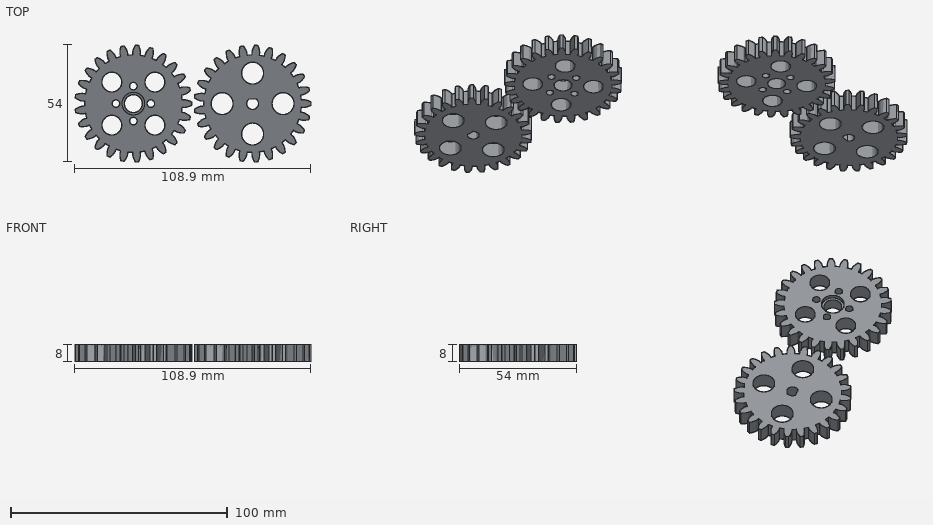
import cadquery as cq
import math

tooth_count = 25
centre_distance = 55.0
tip_radius = 27.0
root_radius = 22.5
pitch_radius = 25.0
pressure_angle = math.radians(20)
thickness = 8.0
pitch_thickness = 3.2
base_radius = pitch_radius * math.cos(pressure_angle)
tooth_step = 2 * math.pi / tooth_count
flank_point_count = 6

bearing_bore = 8.2
bearing_seat = 10.5
seat_depth = 2.0
screw_hole = 3.4
screw_circle_radius = 8.1
bearing_gear_window = 9.0
bearing_gear_window_angle = 45

shaft_gear_window = 10.0
shaft_bore = 5.3
shaft_flat_offset = 2.1

window_circle_radius = 14.0
hole_count = 4


def polar_point(radius, angle):
    return (radius * math.cos(angle), radius * math.sin(angle))


def involute_angle(radius):
    """Angle the involute has swept from the base circle out to the radius."""
    pressure = math.acos(base_radius / radius)
    return math.tan(pressure) - pressure


base_half_angle = pitch_thickness / pitch_radius / 2 + involute_angle(pitch_radius)


def flank_points(centre_angle, side):
    """Points from base circle to tip; side is -1 or 1 for the two flanks of a tooth."""
    points = []
    for i in range(flank_point_count):
        radius = base_radius + (tip_radius - base_radius) * i / (flank_point_count - 1)
        half_angle = base_half_angle - involute_angle(radius)
        points.append(polar_point(radius, centre_angle + side * half_angle))
    return points


def gear_blank(centre_x):
    """Toothed disc with radial root flanks below the involutes."""
    outline = cq.Workplane("XY").moveTo(*polar_point(root_radius, -base_half_angle))
    for i in range(tooth_count):
        angle = i * tooth_step
        rising = flank_points(angle, -1)
        falling = flank_points(angle, 1)[::-1]
        next_angle = angle + tooth_step
        outline = outline.lineTo(*rising[0])
        outline = outline.spline(rising[1:], includeCurrent=True)
        outline = outline.threePointArc(polar_point(tip_radius, angle), falling[0])
        outline = outline.spline(falling[1:], includeCurrent=True)
        outline = outline.lineTo(*polar_point(root_radius, angle + base_half_angle))
        outline = outline.threePointArc(
            polar_point(root_radius, angle + tooth_step / 2),
            polar_point(root_radius, next_angle - base_half_angle),
        )
    return outline.close().extrude(thickness).translate((centre_x, 0, 0))


def hole_ring(centre_x, diameter, circle_radius, start_angle):
    """Through cutters spread evenly on a circle around a gear centre."""
    return (
        cq.Workplane("XY")
        .center(centre_x, 0)
        .polarArray(circle_radius, start_angle, 360, hole_count)
        .circle(diameter / 2)
        .extrude(thickness)
    )


def make_bearing_gear(centre_x):
    bore = cq.Workplane("XY").center(centre_x, 0).circle(bearing_bore / 2).extrude(thickness)
    seat_floor = thickness - seat_depth
    seat = (
        cq.Workplane("XY", origin=(centre_x, 0, seat_floor))
        .circle(bearing_seat / 2)
        .extrude(seat_depth)
    )
    return (
        gear_blank(centre_x)
        .cut(bore)
        .cut(seat)
        .cut(hole_ring(centre_x, screw_hole, screw_circle_radius, 0))
        .cut(hole_ring(centre_x, bearing_gear_window, window_circle_radius, bearing_gear_window_angle))
    )


def make_shaft_gear(centre_x):
    round_bore = cq.Workplane("XY").center(centre_x, 0).circle(shaft_bore / 2).extrude(thickness)
    below_flat = (
        cq.Workplane("XY")
        .center(centre_x, shaft_flat_offset - shaft_bore / 2)
        .rect(shaft_bore, shaft_bore)
        .extrude(thickness)
    )
    return (
        gear_blank(centre_x)
        .cut(round_bore.intersect(below_flat))
        .cut(hole_ring(centre_x, shaft_gear_window, window_circle_radius, 0))
    )


bearing_gear = make_bearing_gear(0)
shaft_gear = make_shaft_gear(centre_distance)

result = cq.Compound.makeCompound([bearing_gear.val(), shaft_gear.val()])